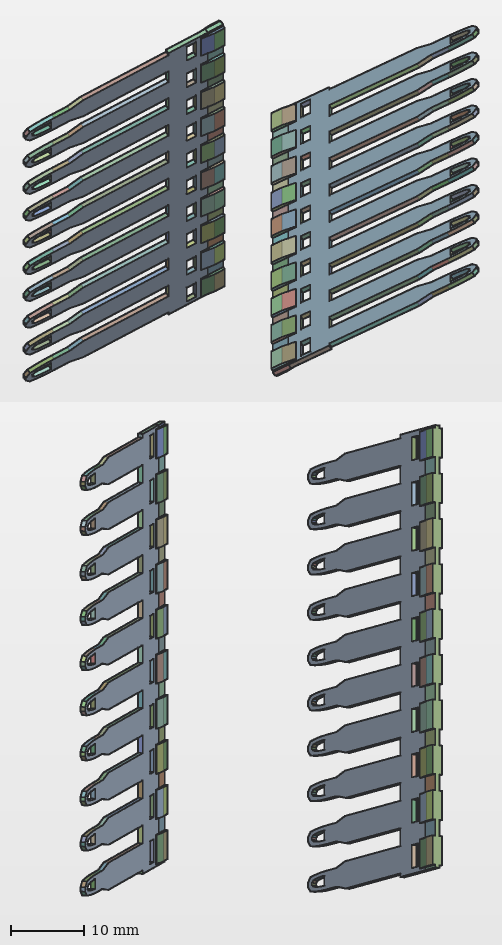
import cadquery as cq

TILT = -3.0

FINGER_COUNT = 10
HEIGHT = 61.4
END_MARGIN = 2.4
PITCH = (HEIGHT - 2 * END_MARGIN) / (FINGER_COUNT - 1)
FINGER_CENTRES = [(i - (FINGER_COUNT - 1) / 2) * PITCH for i in range(FINGER_COUNT)]

SHEET = 0.7
STRIP_DEPTH = 2.5
SPINE_END = 8.9
TAPER_START = 22.75
TAPER_END = 24.95
TIP_CURVE_START = 27.5
TIP_CURVE_END = 31.45
LENGTH = 32.1

FINGER_HALF = 1.9
NECK_HALF = 1.3
TIP_HALF = 1.0
TIP_FLAT_HALF = 0.3

EYE_START = 28.0
EYE_SHOULDER = 30.7
EYE_END = 31.05
EYE_HALF = 0.7
EYE_SHOULDER_HALF = 0.45
EYE_FLAT_HALF = 0.15

WINDOW_START = 4.4
WINDOW_END = 5.9
WINDOW_HEIGHT = 3.2

PAD_HEIGHT = 4.05
PAD_END = 3.7
PAD_TAPER_START = 1.7
PAD_RISE = 0.4
PAD_LIP = 0.15


def box(y_start, y_end, height, z_centre):
    """Block of sheet thickness between two distances from the back edge."""
    return (
        cq.Workplane("XY")
        .box(SHEET, y_end - y_start, height)
        .translate((0, -(y_start + y_end) / 2, z_centre))
    )


def extrude_through_sheet(outline):
    """Close an outline in the sheet's plane and give it the sheet's thickness."""
    return outline.close().extrude(SHEET / 2, both=True)


def arc_middle(start, end, half_start, half_end):
    """Middle point of a shallow arc that leaves its start parallel to the finger."""
    drop = half_start - half_end
    return (start + end) / 2, half_start - drop / 4


def finger(z):
    """Straight blade, tapered to a neck that curves in to a blunt tip."""
    mid, mid_half = arc_middle(TIP_CURVE_START, TIP_CURVE_END, NECK_HALF, TIP_HALF)
    outline = (
        cq.Workplane("YZ", origin=(0, 0, z))
        .moveTo(-SPINE_END, FINGER_HALF)
        .lineTo(-TAPER_START, FINGER_HALF)
        .lineTo(-TAPER_END, NECK_HALF)
        .lineTo(-TIP_CURVE_START, NECK_HALF)
        .threePointArc((-mid, mid_half), (-TIP_CURVE_END, TIP_HALF))
        .lineTo(-LENGTH, TIP_FLAT_HALF)
        .lineTo(-LENGTH, -TIP_FLAT_HALF)
        .lineTo(-TIP_CURVE_END, -TIP_HALF)
        .threePointArc((-mid, -mid_half), (-TIP_CURVE_START, -NECK_HALF))
        .lineTo(-TAPER_END, -NECK_HALF)
        .lineTo(-TAPER_START, -FINGER_HALF)
        .lineTo(-SPINE_END, -FINGER_HALF)
    )
    return extrude_through_sheet(outline)


def eye(z):
    """Opening in the finger tip, narrowing along the tip's curve."""
    mid, mid_half = arc_middle(EYE_START, EYE_SHOULDER, EYE_HALF, EYE_SHOULDER_HALF)
    outline = (
        cq.Workplane("YZ", origin=(0, 0, z))
        .moveTo(-EYE_START, EYE_HALF)
        .threePointArc((-mid, mid_half), (-EYE_SHOULDER, EYE_SHOULDER_HALF))
        .lineTo(-EYE_END, EYE_FLAT_HALF)
        .lineTo(-EYE_END, -EYE_FLAT_HALF)
        .lineTo(-EYE_SHOULDER, -EYE_SHOULDER_HALF)
        .threePointArc((-mid, -mid_half), (-EYE_START, -EYE_HALF))
    )
    return extrude_through_sheet(outline)


def pad(z, side):
    """Pad on one face of the sheet (side = 1 or -1), sloping down to a thin lip."""
    face = side * SHEET / 2
    return (
        cq.Workplane("XY", origin=(0, 0, z))
        .moveTo(face, 0)
        .lineTo(face + side * PAD_RISE, 0)
        .lineTo(face + side * PAD_RISE, -PAD_TAPER_START)
        .lineTo(face + side * PAD_LIP, -PAD_END)
        .lineTo(face, -PAD_END)
        .close()
        .extrude(PAD_HEIGHT / 2, both=True)
    )


def make_comb():
    comb = box(STRIP_DEPTH, SPINE_END, HEIGHT, 0)
    for z in FINGER_CENTRES:
        comb = comb.union(finger(z))
        comb = comb.cut(box(WINDOW_START, WINDOW_END, WINDOW_HEIGHT, z))
        comb = comb.cut(eye(z))
    return comb


def make_strip():
    strip = box(0, STRIP_DEPTH, HEIGHT, 0)
    for z in FINGER_CENTRES:
        for side in (1, -1):
            strip = strip.union(pad(z, side))
    return strip


def tilted(body):
    return body.rotate((0, 0, 0), (0, 0, 1), TILT)


comb = tilted(make_comb())
strip = tilted(make_strip())

result = cq.Compound.makeCompound([comb.val(), strip.val()])